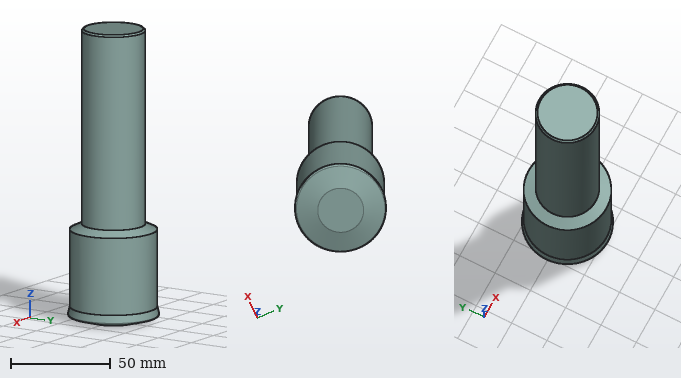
import cadquery as cq
import math

total_length = 150.0

shank_diameter = 32.0
shank_length = 100.0
shank_chamfer = 1.0
head_diameter = 44.0
shoulder_height = 2.8

rim_diameter = 45.81
rim_corner_radius = 1.0
cutter_height = 7.7
tip_flat_diameter = 23.0
tip_slope = math.radians(15.5)

shank_radius = shank_diameter / 2
head_radius = head_diameter / 2
rim_radius = rim_diameter / 2
tip_flat_radius = tip_flat_diameter / 2
shank_base_height = total_length - shank_length
shoulder_base_height = shank_base_height - shoulder_height

corner_centre_radius = rim_radius - rim_corner_radius
corner_centre_height = (
    (corner_centre_radius - tip_flat_radius) * math.tan(tip_slope)
    + rim_corner_radius / math.cos(tip_slope)
)


def revolve_about_z(profile):
    """Revolve a closed (radius, height) profile a full turn about the Z axis."""
    return profile.close().revolve(360, (0, 0), (0, 1))


def corner_point(angle):
    """Point on the rim corner arc at an angle measured from the outward radial direction."""
    return (
        corner_centre_radius + rim_corner_radius * math.cos(angle),
        corner_centre_height + rim_corner_radius * math.sin(angle),
    )


def make_holder():
    """Head, conical shoulder and chamfered shank, standing on the cutter's flat top."""
    profile = (
        cq.Workplane("XZ")
        .moveTo(0, cutter_height)
        .lineTo(head_radius, cutter_height)
        .lineTo(head_radius, shoulder_base_height)
        .lineTo(shank_radius, shank_base_height)
        .lineTo(shank_radius, total_length - shank_chamfer)
        .lineTo(shank_radius - shank_chamfer, total_length)
        .lineTo(0, total_length)
    )
    return revolve_about_z(profile)


def make_cutter():
    """Disc that flares from the head diameter to a rounded rim, with a flat-ended conical tip."""
    corner_start = tip_slope - math.pi / 2
    profile = (
        cq.Workplane("XZ")
        .lineTo(tip_flat_radius, 0)
        .lineTo(*corner_point(corner_start))
        .threePointArc(corner_point(corner_start / 2), corner_point(0))
        .lineTo(head_radius, cutter_height)
        .lineTo(0, cutter_height)
    )
    return revolve_about_z(profile)


holder = make_holder()
cutter = make_cutter()

result = cq.Compound.makeCompound([holder.val(), cutter.val()])